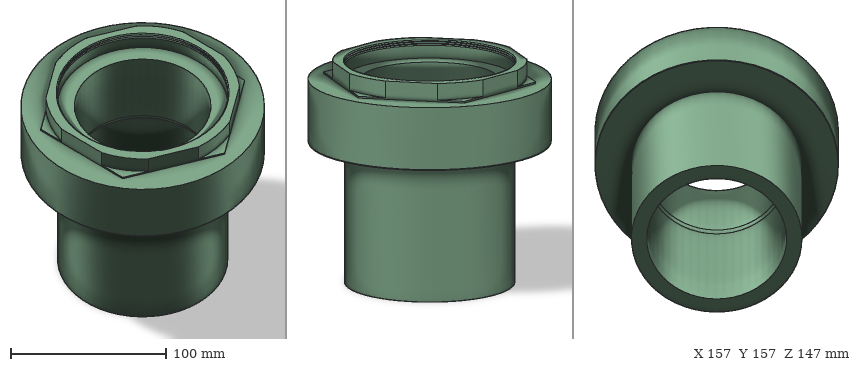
import cadquery as cq

total_height = 147.0
flange_bottom = 93.1
flange_top = 134.9
hex_base_height = 1.1

flange_diameter = 157.0
tube_diameter = 109.9
bore_diameter = 87.9
recess_diameter = 109.9

hex_across_flats = 120.5
collar_diameter = 125.3

recess_depth = 12.0
groove_count = 3
groove_pitch = 1.4
groove_depth = 0.8

rim_chamfer_height = 0.6
rim_chamfer_inset = 0.3

cone_top = 85.1
cone_height = 3.0
tube_bore_step = 1.1


def cylinder(diameter, bottom, top):
    """Solid cylinder on the Z axis between two heights."""
    return cq.Workplane("XY").workplane(offset=bottom).circle(diameter / 2).extrude(top - bottom)


def hexagon(bottom, top):
    """Hexagonal prism with two flats facing X."""
    return (
        cq.Workplane("XY")
        .workplane(offset=bottom)
        .polygon(6, hex_across_flats, circumscribed=True)
        .extrude(top - bottom)
    )


def revolved(profile):
    """Solid of revolution about Z from (radius, height) points."""
    return cq.Workplane("XZ").polyline(profile).close().revolve(360, (0, 0, 0), (0, 1, 0))


tube = cylinder(tube_diameter, 0, flange_top)
flange = cylinder(flange_diameter, flange_bottom, flange_top)
flange = flange.faces("<Z").chamfer(rim_chamfer_height, rim_chamfer_inset)

collar_bottom = flange_top + hex_base_height
hex_base = hexagon(flange_top, collar_bottom)
collar = hexagon(collar_bottom, total_height).intersect(
    cylinder(collar_diameter, collar_bottom, total_height)
)

body = tube.union(flange).union(hex_base).union(collar)

bore = cylinder(bore_diameter, 0, total_height)
bore_radius = bore_diameter / 2
tube_bore_radius = bore_radius + tube_bore_step
tube_bore = revolved(
    [
        (0, 0),
        (tube_bore_radius, 0),
        (tube_bore_radius, cone_top - cone_height),
        (bore_radius, cone_top),
        (0, cone_top),
    ]
)

recess_radius = recess_diameter / 2
groove_radius = recess_radius + groove_depth
recess_floor = total_height - recess_depth
recess_profile = [(0, recess_floor), (0, total_height)]
for groove in range(groove_count):
    groove_height = total_height - groove * groove_pitch
    recess_profile.append((groove_radius, groove_height))
    recess_profile.append((recess_radius, groove_height - groove_pitch / 2))
recess_profile.append((recess_radius, recess_floor))
recess = revolved(recess_profile)

result = body.cut(bore).cut(tube_bore).cut(recess)